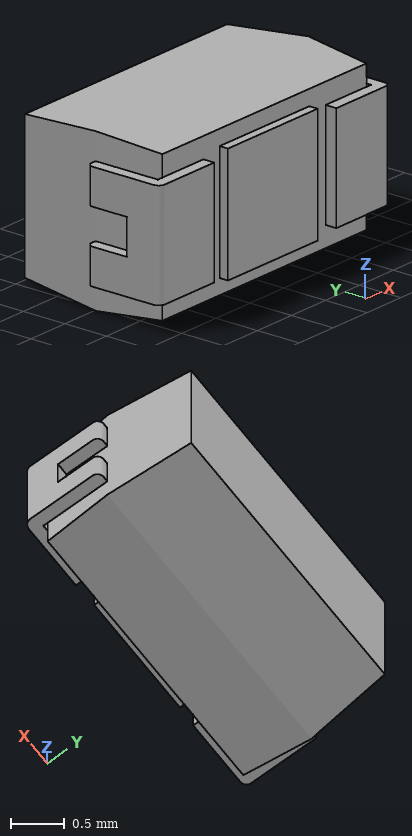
import cadquery as cq
import math


overall_length = 3.4
overall_height = 1.8
body_width = 1.8

sheet_thickness = 0.13
terminal_width = 1.2
foot_length = 0.8
leg_height = 0.88
bend_radius = 0.075
slot_width = 0.4
slot_depth = 0.48

draft_angle = 5.0
body_length = overall_length - 2 * sheet_thickness
body_bottom = sheet_thickness
parting_height = leg_height

pad_size = 1.32
pad_thickness = 0.1


def drafted_half(end_height):
    """Body half tapering from the parting plane to a flat face at end_height."""
    rise = end_height - parting_height
    inset = abs(rise) * math.tan(math.radians(draft_angle))
    return (
        cq.Workplane("XZ", origin=(0, parting_height, 0))
        .rect(body_length, body_width)
        .workplane(offset=-rise)
        .rect(body_length - 2 * inset, body_width - 2 * inset)
        .loft(ruled=True)
    )


def make_body():
    """One moulded body, widest at the parting plane."""
    return drafted_half(overall_height).union(drafted_half(body_bottom))


def make_terminal(side):
    """L-shaped terminal at the -X end (side = -1) or the +X end (side = +1)."""
    outer_x = side * overall_length / 2
    inner_x = outer_x - side * sheet_thickness
    foot_end_x = outer_x - side * foot_length
    terminal = (
        cq.Workplane("XY")
        .moveTo(outer_x, 0)
        .lineTo(outer_x, leg_height)
        .lineTo(inner_x, leg_height)
        .lineTo(inner_x, sheet_thickness)
        .lineTo(foot_end_x, sheet_thickness)
        .lineTo(foot_end_x, 0)
        .close()
        .extrude(terminal_width / 2, both=True)
    )
    outer_face = ">X" if side > 0 else "<X"
    terminal = terminal.faces(outer_face).edges("|Z").fillet(bend_radius)
    slot = cq.Workplane("XY").box(2 * sheet_thickness, slot_depth, slot_width).translate(
        (outer_x, leg_height - slot_depth / 2, 0)
    )
    return terminal.cut(slot)


def make_pad():
    """Square pad under the middle of the body."""
    return cq.Workplane("XY").box(pad_size, pad_thickness, pad_size).translate(
        (0, body_bottom - pad_thickness / 2, 0)
    )


body = make_body()
terminals = [make_terminal(side) for side in (-1, 1)]
pad = make_pad()

result = cq.Compound.makeCompound([body.val(), *[terminal.val() for terminal in terminals], pad.val()])